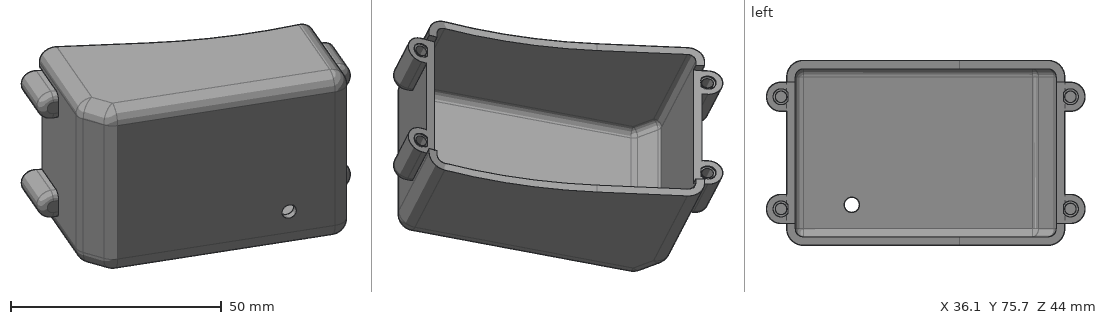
import cadquery as cq
import math

DEPTH = 36.1
WIDTH = 66.05
HEIGHT = 44.0
WALL = 2.05
OUTER_RADIUS = 4.0

SLOPE_LEG_X = 6.8
SLOPE_LEG_Y = 5.9

RIM_RADIUS = 113.5
RIM_APEX_Y = 17.85
RIM_ANGLE = math.radians(13.2)

OVERALL_WIDTH = 75.7
BOSS_RADIUS = 3.5
BOSS_Y = OVERALL_WIDTH / 2 - BOSS_RADIUS
BOSS_Z = 13.3
BOSS_END_X = {1: -13.55, -1: -21.4}
BOSS_END_RADIUS = 2.0
RECESS_DEPTH = 2.0
PILOT_RADIUS = 1.35
COUNTERBORE_RADIUS = 1.9
COUNTERBORE_DEPTH = 0.3
COUNTERBORE_FLAT_Y = 32.8

CABLE_HOLE_DIAMETER = 3.55
CABLE_HOLE_Y = 17.55
CABLE_HOLE_Z = -12.3

FRONT_X = -2 * DEPTH
REACH_Y = OVERALL_WIDTH


def rounded_block(inset):
    """Block with all but its front edges rounded, set in evenly from the outer faces."""
    half_width = WIDTH / 2
    outline = [
        (FRONT_X, half_width),
        (0, half_width),
        (0, SLOPE_LEG_Y - half_width),
        (-SLOPE_LEG_X, -half_width),
        (FRONT_X, -half_width),
    ]
    profile = cq.Workplane("XY").polyline(outline).close()
    if inset:
        profile = profile.offset2D(-inset)
    block = profile.extrude(HEIGHT / 2 - inset, both=True)
    return block.edges("not(<X)").fillet(OUTER_RADIUS - inset)


def space_before_rim(height, shift=0.0):
    """Everything in front of the rim curve, with the curve moved back by shift."""
    half_chord = RIM_RADIUS * math.sin(RIM_ANGLE)
    sag = RIM_RADIUS * (1 - math.cos(RIM_ANGLE))
    line_start_y = RIM_APEX_Y - half_chord
    slope = math.tan(RIM_ANGLE)
    line_start_x = shift - DEPTH + (line_start_y + WIDTH / 2) * slope
    line_end_x = line_start_x - (line_start_y + REACH_Y) * slope
    return (
        cq.Workplane("XY")
        .moveTo(line_end_x, -REACH_Y)
        .lineTo(line_start_x, line_start_y)
        .threePointArc((line_start_x + sag, RIM_APEX_Y), (line_start_x, RIM_APEX_Y + half_chord))
        .lineTo(2 * FRONT_X, RIM_APEX_Y + half_chord)
        .lineTo(2 * FRONT_X, -REACH_Y)
        .close()
        .extrude(height / 2, both=True)
    )


def x_cylinder(radius, y, z, end_x):
    """Cylinder along X from the front of the blanks to end_x."""
    return cq.Workplane("YZ", origin=(FRONT_X, y, z)).circle(radius).extrude(end_x - FRONT_X)


def boss(side, z):
    """Half-round boss reaching into the middle of the side wall."""
    end_x = BOSS_END_X[side]
    root_y = WIDTH / 2 - WALL / 2
    web = cq.Workplane("XY").box(
        end_x - FRONT_X, BOSS_Y - root_y, 2 * BOSS_RADIUS, centered=(False, False, True)
    )
    web = web.translate((FRONT_X, root_y if side > 0 else -BOSS_Y, z))
    body = x_cylinder(BOSS_RADIUS, side * BOSS_Y, z, end_x).union(web)
    end_edges = body.faces(">X").edges()
    outside_edges = end_edges.filter(lambda edge: abs(edge.Center().y) > WIDTH / 2)
    return outside_edges.fillet(BOSS_END_RADIUS)


def counterbore(side, z):
    """Shallow round pocket, flat on the wall side, with a floor parallel to the rim."""
    tool = x_cylinder(COUNTERBORE_RADIUS, side * BOSS_Y, z, 0)
    keep = cq.Workplane("XY").box(4 * DEPTH, WIDTH, HEIGHT)
    keep = keep.translate((0, side * (COUNTERBORE_FLAT_Y + WIDTH / 2), 0))
    return tool.intersect(keep).intersect(
        space_before_rim(HEIGHT, RECESS_DEPTH + COUNTERBORE_DEPTH)
    )


boss_places = [(side, z) for side in (1, -1) for z in (BOSS_Z, -BOSS_Z)]

result = rounded_block(0)
for side, z in boss_places:
    result = result.union(boss(side, z))
result = result.cut(rounded_block(WALL))

result = result.cut(space_before_rim(2 * HEIGHT))
inside = cq.Workplane("XY").box(4 * DEPTH, WIDTH - 2 * WALL, HEIGHT)
recess = space_before_rim(2 * (BOSS_Z + BOSS_RADIUS), RECESS_DEPTH).cut(inside)
result = result.cut(recess)

for side, z in boss_places:
    result = result.cut(counterbore(side, z))
    pilot_end_x = BOSS_END_X[side] - BOSS_END_RADIUS
    result = result.cut(x_cylinder(PILOT_RADIUS, side * BOSS_Y, z, pilot_end_x))

cable_hole = x_cylinder(CABLE_HOLE_DIAMETER / 2, CABLE_HOLE_Y, CABLE_HOLE_Z, 0)
result = result.cut(cable_hole)